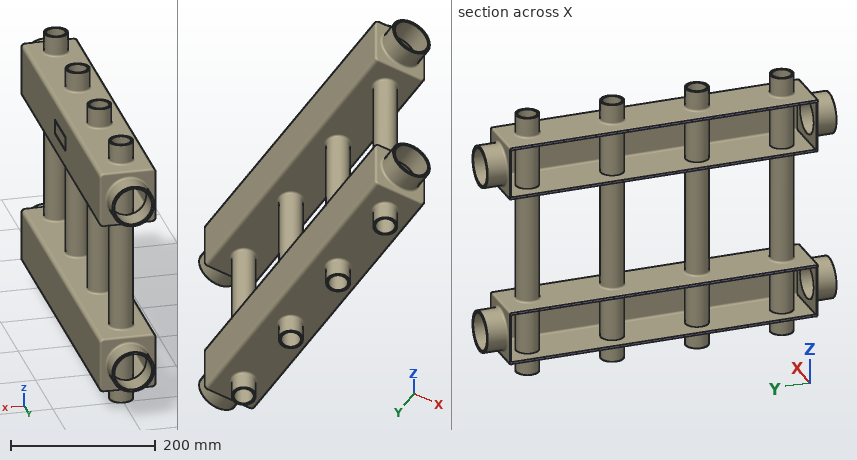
import cadquery as cq

box_side = 80.0
box_length = 455.0
box_wall = 3.0
long_edge_radius = 6.0
end_edge_radius = 3.0
box_spacing = 250.0

header_diameter = 60.0
header_bore = 53.0

riser_diameter = 33.5
riser_bore = 27.5
riser_count = 4
riser_pitch = 125.0

stub_length = 30.0
pipe_end_chamfer = 0.5
weld_radius = 3.0
weld_overlap = 0.5

plate_length = 60.0
plate_height = 20.0
plate_thickness = 0.55

header_length = box_length + 2 * stub_length
riser_length = box_spacing + box_side + 2 * stub_length
box_levels = [-box_spacing / 2, box_spacing / 2]
riser_places = [(i - (riser_count - 1) / 2) * riser_pitch for i in range(riser_count)]


def rod(diameter, length):
    """Solid cylinder along Z, centred on the origin."""
    return cq.Workplane("XY").circle(diameter / 2).extrude(length / 2, both=True)


def pipe_body(diameter, length):
    """Outside of a pipe along Z, with both rims chamfered."""
    return rod(diameter, length).faces("<Z or >Z").edges().chamfer(pipe_end_chamfer)


def pipe_bore(bore, length):
    """Inside of a pipe along Z, flared by a chamfer at both mouths."""
    profile = (
        cq.Workplane("XZ")
        .moveTo(0, -length / 2)
        .lineTo(bore / 2 + pipe_end_chamfer, -length / 2)
        .lineTo(bore / 2, -length / 2 + pipe_end_chamfer)
        .lineTo(bore / 2, length / 2 - pipe_end_chamfer)
        .lineTo(bore / 2 + pipe_end_chamfer, length / 2)
        .lineTo(0, length / 2)
        .close()
    )
    return profile.revolve(360, (0, 0, 0), (0, 1, 0))


def weld_bead(pipe_diameter, base_level):
    """Concave weld ring around a pipe along Z, standing on a face at base_level."""
    pipe_radius = pipe_diameter / 2
    profile = (
        cq.Workplane("XZ", origin=(0, 0, base_level))
        .moveTo(pipe_radius - weld_overlap, 0)
        .lineTo(pipe_radius + weld_radius, 0)
        .radiusArc((pipe_radius, weld_radius), weld_radius)
        .lineTo(pipe_radius - weld_overlap, weld_radius)
        .close()
    )
    return profile.revolve(360, (0, 0, 0), (0, 1, 0))


def weld_pair(pipe_diameter, base_level):
    """Two weld rings facing away from each other, at +base_level and -base_level."""
    bead = weld_bead(pipe_diameter, base_level)
    return bead.union(bead.mirror("XY"))


def along_y(shape, level):
    """Turn a shape from the Z axis onto the Y axis and lift it to a level."""
    return shape.rotate((0, 0, 0), (1, 0, 0), 90).translate((0, 0, level))


def box_body():
    """Outside of one manifold box."""
    body = cq.Workplane("XY").box(box_side, box_length, box_side)
    body = body.edges("|Y").fillet(long_edge_radius)
    return body.faces("<Y or >Y").edges().fillet(end_edge_radius)


def box_cavity():
    """Chamber inside one manifold box."""
    inner_side = box_side - 2 * box_wall
    cavity = cq.Workplane("XY").box(inner_side, box_length - 2 * box_wall, inner_side)
    return cavity.edges("|Y").fillet(long_edge_radius - box_wall)


def manifold(level):
    """Hollow box with its two welded header stubs."""
    body = box_body().translate((0, 0, level))
    body = body.union(along_y(pipe_body(header_diameter, header_length), level))
    body = body.union(along_y(weld_pair(header_diameter, box_length / 2), level))
    body = body.cut(box_cavity().translate((0, 0, level)))
    return body.cut(along_y(pipe_bore(header_bore, header_length), level))


def riser(place):
    """Outside of one riser pipe with its weld rings on both boxes."""
    body = pipe_body(riser_diameter, riser_length)
    for level in box_levels:
        body = body.union(weld_pair(riser_diameter, box_side / 2).translate((0, 0, level)))
    return body.translate((0, place, 0))


def raised_plate():
    """Thin plate on the +X face of the upper box, sunk into the wall by its own thickness."""
    plate = cq.Workplane("XY").box(2 * plate_thickness, plate_length, plate_height)
    return plate.translate((box_side / 2, 0, box_levels[-1]))


lower_level, upper_level = box_levels
result = manifold(lower_level).add(manifold(upper_level)).combine()
for riser_place in riser_places:
    result = result.union(riser(riser_place))
for riser_place in riser_places:
    result = result.cut(pipe_bore(riser_bore, riser_length).translate((0, riser_place, 0)))
result = result.union(raised_plate()).solids()